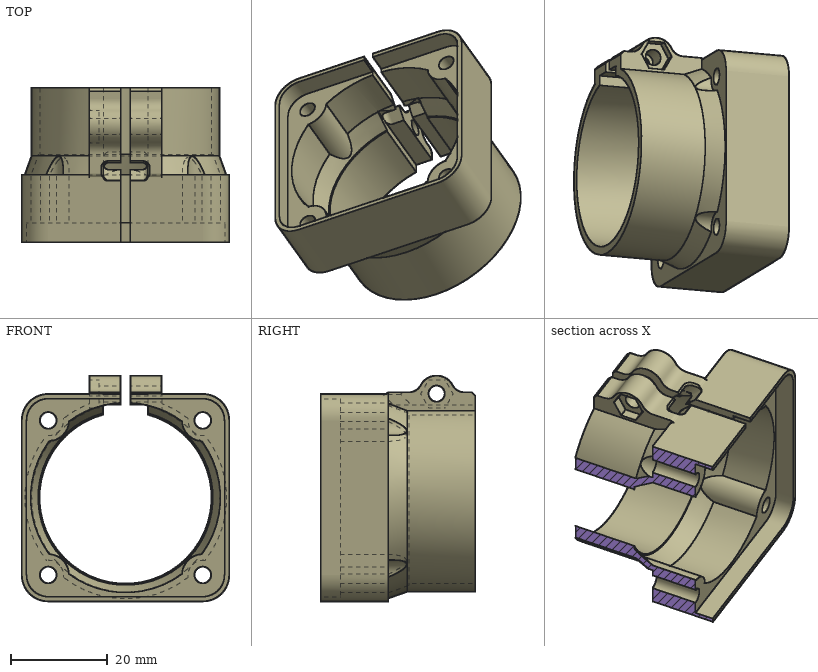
import cadquery as cq
import math

BOX_SIZE = 43.0
BOX_DEPTH = 14.0
BOX_HALF = BOX_SIZE / 2
TOTAL_DEPTH = 32.0

SCREW_OFFSET = 16.0
SCREW_HOLE_DIAMETER = 3.4
SCREW_HEAD_DIAMETER = 6.2
SCREW_BOSS_WALL = 1.2
SCREW_BOSS_RADIUS = SCREW_HEAD_DIAMETER / 2 + SCREW_BOSS_WALL
BOX_CORNER_RADIUS = BOX_HALF - SCREW_OFFSET

RIM_WALL = 1.0
RIM_DEPTH = 4.0

SLEEVE_RADIUS = 19.5
CONE_BASE_RADIUS = 20.9
CONE_END = 17.87

FRONT_BORE_RADIUS = 19.65
CONE_BORE_END_RADIUS = 18.1
CONE_BORE_END = 18.25
SLEEVE_BORE_RADIUS = 17.8

EAR_WIDTH = 15.0
EAR_TOP = 21.85
EAR_BACK_CHAMFER = 0.75
EAR_FRONT_Y = 13.45
EAR_NOSE_BLEND_LENGTH = 0.22
EAR_NOSE_ROUND_LENGTH = 0.68
CLAMP_GAP = 2.0
CLAMP_Y = 24.0
CLAMP_Z = 21.54
CLAMP_HOLE_DIAMETER = 3.3
HUMP_RADIUS = 3.75
HUMP_FILLET_RADIUS = 2.7
NUT_ACROSS_FLATS = 5.8
NUT_POCKET_DEPTH = 2.0

CHANNEL_WIDTH = 9.3
CHANNEL_TOP = 19.2
WINDOW_FRONT = 12.75
WINDOW_LENGTH = 3.7
WINDOW_ANGLE = 45.0
WINDOW_CORNER_RADIUS = 1.1
WINDOW_RIM_BOTTOM = 21.45
WINDOW_RIM_HEIGHT = 0.8
WINDOW_RIM_ANGLE = 45.0

CORNERS = [(sx * SCREW_OFFSET, sz * SCREW_OFFSET) for sx in (-1, 1) for sz in (-1, 1)]


def plane_at(y):
    """XZ work plane at the given Y; a negative extrusion runs toward +Y."""
    return cq.Workplane("XZ", origin=(0, y, 0))


def rounded_square(size, radius, start, end):
    block = plane_at(start).rect(size, size).extrude(start - end)
    return block.edges("|Y").fillet(radius)


def corner_cylinders(diameter, start, end):
    return plane_at(start).pushPoints(CORNERS).circle(diameter / 2).extrude(start - end)


def turned(profile):
    """Solid of revolution about the Y axis from (radius, y) points."""
    return cq.Workplane("XY").polyline(profile).close().revolve(360, (0, 0, 0), (0, 1, 0))


def outer_body():
    box = rounded_square(BOX_SIZE, BOX_CORNER_RADIUS, 0, BOX_DEPTH)
    sleeve = turned([
        (0, 0),
        (SLEEVE_RADIUS, 0),
        (CONE_BASE_RADIUS, BOX_DEPTH),
        (SLEEVE_RADIUS, CONE_END),
        (SLEEVE_RADIUS, TOTAL_DEPTH),
        (0, TOTAL_DEPTH),
    ])
    head_clearance = corner_cylinders(SCREW_HEAD_DIAMETER, BOX_DEPTH, TOTAL_DEPTH)
    return box.union(sleeve).cut(head_clearance)


def clamp_ears():
    """Ear block with a round hump over the clamp screw, blended into the flat top."""
    fillet_z = EAR_TOP + HUMP_FILLET_RADIUS
    centre_distance = HUMP_RADIUS + HUMP_FILLET_RADIUS
    fillet_offset = math.sqrt(centre_distance**2 - (fillet_z - CLAMP_Z) ** 2)
    tangent_offset = fillet_offset * HUMP_RADIUS / centre_distance
    tangent_z = CLAMP_Z + (fillet_z - CLAMP_Z) * HUMP_RADIUS / centre_distance
    down_angle = -math.pi / 2
    hump_angle = -math.atan2(fillet_z - CLAMP_Z, fillet_offset)
    middle_angle = (down_angle + hump_angle) / 2
    middle_offset = fillet_offset - HUMP_FILLET_RADIUS * math.cos(middle_angle)
    middle_z = fillet_z + HUMP_FILLET_RADIUS * math.sin(middle_angle)
    nose_round_start = EAR_FRONT_Y + EAR_NOSE_BLEND_LENGTH
    nose_end = nose_round_start + EAR_NOSE_ROUND_LENGTH
    nose_chord_slope = (EAR_TOP - BOX_HALF) / (nose_end - EAR_FRONT_Y)
    nose_round_start_z = BOX_HALF + EAR_NOSE_BLEND_LENGTH * nose_chord_slope
    nose_angle = 2 * math.atan(nose_chord_slope)
    sagitta_per_length = math.tan(nose_angle / 4) / (2 * math.cos(nose_angle / 2))
    blend_sagitta = EAR_NOSE_BLEND_LENGTH * sagitta_per_length
    round_sagitta = EAR_NOSE_ROUND_LENGTH * sagitta_per_length
    return (
        cq.Workplane("YZ", origin=(-EAR_WIDTH / 2, 0, 0))
        .moveTo(EAR_FRONT_Y, 0)
        .lineTo(EAR_FRONT_Y, BOX_HALF)
        .sagittaArc((nose_round_start, nose_round_start_z), -blend_sagitta)
        .sagittaArc((nose_end, EAR_TOP), round_sagitta)
        .lineTo(CLAMP_Y - fillet_offset, EAR_TOP)
        .threePointArc((CLAMP_Y - middle_offset, middle_z), (CLAMP_Y - tangent_offset, tangent_z))
        .threePointArc((CLAMP_Y, CLAMP_Z + HUMP_RADIUS), (CLAMP_Y + tangent_offset, tangent_z))
        .threePointArc((CLAMP_Y + middle_offset, middle_z), (CLAMP_Y + fillet_offset, EAR_TOP))
        .lineTo(TOTAL_DEPTH - EAR_BACK_CHAMFER, EAR_TOP)
        .lineTo(TOTAL_DEPTH, EAR_TOP - EAR_BACK_CHAMFER)
        .lineTo(TOTAL_DEPTH, 0)
        .close()
        .extrude(EAR_WIDTH)
    )


def bore():
    """Stepped bore, narrowed near the corners by the screw bosses."""
    front = turned([
        (0, 0),
        (FRONT_BORE_RADIUS, 0),
        (FRONT_BORE_RADIUS, BOX_DEPTH),
        (CONE_BORE_END_RADIUS, CONE_BORE_END),
        (0, CONE_BORE_END),
    ])
    bosses = corner_cylinders(2 * SCREW_BOSS_RADIUS, 0, CONE_BORE_END)
    sleeve = plane_at(0).circle(SLEEVE_BORE_RADIUS).extrude(-TOTAL_DEPTH)
    return front.cut(bosses).union(sleeve)


def front_recess():
    size = BOX_SIZE - 2 * RIM_WALL
    return rounded_square(size, BOX_CORNER_RADIUS - RIM_WALL, 0, RIM_DEPTH)


def clamp_cuts():
    """Gap between the ears, the screw hole through them and the nut pocket on the -X ear."""
    gap = cq.Workplane("XY").box(
        CLAMP_GAP, TOTAL_DEPTH, CLAMP_Z + HUMP_RADIUS, centered=(True, False, False)
    )
    ear_side = cq.Workplane("YZ", origin=(-EAR_WIDTH / 2, CLAMP_Y, CLAMP_Z))
    hole = ear_side.circle(CLAMP_HOLE_DIAMETER / 2).extrude(EAR_WIDTH)
    across_corners = NUT_ACROSS_FLATS / math.cos(math.pi / 6)
    nut_pocket = ear_side.polygon(6, across_corners).extrude(NUT_POCKET_DEPTH)
    return gap.union(hole).union(nut_pocket)


def cable_passage():
    channel = cq.Workplane("XY", origin=(0, BOX_DEPTH, 0)).box(
        CHANNEL_WIDTH, TOTAL_DEPTH - BOX_DEPTH, CHANNEL_TOP, centered=(True, False, False)
    )
    slant = math.radians(WINDOW_ANGLE)
    window_middle = WINDOW_FRONT + WINDOW_LENGTH / 2
    window_plane = cq.Plane(
        origin=(0, window_middle, BOX_HALF),
        xDir=(1, 0, 0),
        normal=(0, -math.cos(slant), math.sin(slant)),
    )
    reach = (BOX_HALF - SLEEVE_BORE_RADIUS) / math.sin(slant)
    window = (
        cq.Workplane(window_plane)
        .rect(CHANNEL_WIDTH, WINDOW_LENGTH * math.sin(slant))
        .extrude(reach, both=True)
        .edges(cq.selectors.ParallelDirSelector(window_plane.zDir))
        .fillet(WINDOW_CORNER_RADIUS)
    )
    rim = (
        cq.Workplane("XY", origin=(0, window_middle, WINDOW_RIM_BOTTOM))
        .sketch()
        .rect(CHANNEL_WIDTH, WINDOW_LENGTH)
        .vertices()
        .fillet(WINDOW_CORNER_RADIUS)
        .finalize()
        .extrude(WINDOW_RIM_HEIGHT, taper=-WINDOW_RIM_ANGLE)
    )
    return channel.union(window).union(rim)


result = (
    outer_body()
    .union(clamp_ears())
    .cut(bore())
    .cut(front_recess())
    .cut(corner_cylinders(SCREW_HOLE_DIAMETER, 0, BOX_DEPTH))
    .cut(clamp_cuts())
    .cut(cable_passage())
)